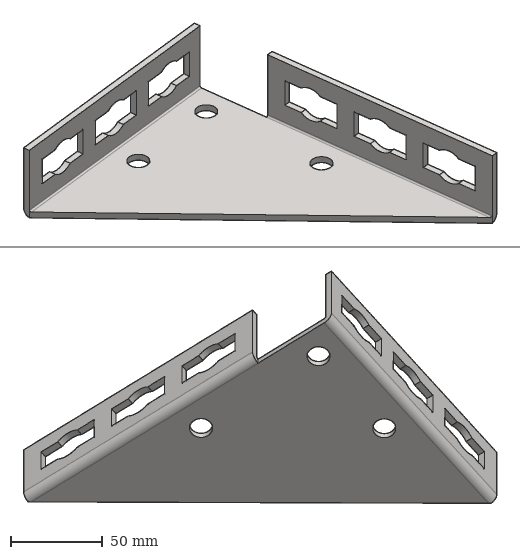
import cadquery as cq
import math

LENGTH = 206.0
WIDTH = 156.0
HEIGHT = 45.0

THICKNESS = 4.0
INNER_BEND = 1.0
OUTER_BEND = INNER_BEND + THICKNESS
ARC_MIDPOINT_INSET = 1 - math.sqrt(0.5)

BACK_FLANGE_START = 50.0
FLOOR_BACK = WIDTH - OUTER_BEND

SLOT_LENGTH = 36.0
SLOT_HEIGHT = 16.2
SLOT_HOLE_DIAMETER = 21.0
SLOT_COUNT = 3
SLOT_Z = 24.65
LEFT_SLOT_CENTRE_Y = 76.5
LEFT_SLOT_PITCH = 47.0
BACK_SLOT_CENTRE_X = (BACK_FLANGE_START + LENGTH) / 2
BACK_SLOT_PITCH = 48.0

HOLE_DIAMETER = 12.5
CORNER_HOLE_X = 20.75
CORNER_HOLE_Y = 135.0
HOLE_SPACING_X = 80.0
HOLE_SPACING_Y = 60.0


def bend_profile(plane, floor_length):
    """L-shaped section: upright at the origin, floor running along the plane's x axis."""
    outer_inset = OUTER_BEND * ARC_MIDPOINT_INSET
    inner_inset = THICKNESS + INNER_BEND * ARC_MIDPOINT_INSET
    return (
        cq.Workplane(plane)
        .moveTo(0, HEIGHT)
        .lineTo(0, OUTER_BEND)
        .threePointArc((outer_inset, outer_inset), (OUTER_BEND, 0))
        .lineTo(floor_length, 0)
        .lineTo(floor_length, THICKNESS)
        .lineTo(OUTER_BEND, THICKNESS)
        .threePointArc((inner_inset, inner_inset), (THICKNESS, OUTER_BEND))
        .lineTo(THICKNESS, HEIGHT)
        .close()
    )


def left_flange_and_floor():
    plane = cq.Plane(origin=(0, 0, 0), xDir=(1, 0, 0), normal=(0, -1, 0))
    return bend_profile(plane, LENGTH).extrude(-FLOOR_BACK)


def back_flange():
    plane = cq.Plane(origin=(BACK_FLANGE_START, WIDTH, 0), xDir=(0, -1, 0), normal=(-1, 0, 0))
    return bend_profile(plane, 2 * OUTER_BEND).extrude(-(LENGTH - BACK_FLANGE_START))


def diagonal_cut():
    """Removes everything in front of the line joining the inner faces of the two flanges."""
    return (
        cq.Workplane("XY")
        .moveTo(THICKNESS, 0)
        .lineTo(LENGTH, 0)
        .lineTo(LENGTH, WIDTH - THICKNESS)
        .close()
        .extrude(HEIGHT)
    )


def slots(plane, pitch):
    """Row of slots through one flange, centred on the plane's origin."""
    centres = [((i - (SLOT_COUNT - 1) / 2) * pitch, 0) for i in range(SLOT_COUNT)]
    base = cq.Workplane(plane).pushPoints(centres)
    rectangles = base.rect(SLOT_LENGTH, SLOT_HEIGHT).extrude(THICKNESS)
    rounds = base.circle(SLOT_HOLE_DIAMETER / 2).extrude(THICKNESS)
    return rectangles.union(rounds)


def mounting_holes():
    centres = [
        (CORNER_HOLE_X, CORNER_HOLE_Y),
        (CORNER_HOLE_X + HOLE_SPACING_X, CORNER_HOLE_Y),
        (CORNER_HOLE_X, CORNER_HOLE_Y - HOLE_SPACING_Y),
    ]
    return cq.Workplane("XY").pushPoints(centres).circle(HOLE_DIAMETER / 2).extrude(THICKNESS)


left_slot_plane = cq.Plane(origin=(0, LEFT_SLOT_CENTRE_Y, SLOT_Z), xDir=(0, 1, 0), normal=(1, 0, 0))
back_slot_plane = cq.Plane(
    origin=(BACK_SLOT_CENTRE_X, WIDTH, SLOT_Z), xDir=(1, 0, 0), normal=(0, -1, 0)
)

bracket = left_flange_and_floor().union(back_flange())
bracket = bracket.cut(diagonal_cut())
bracket = bracket.cut(slots(left_slot_plane, LEFT_SLOT_PITCH))
bracket = bracket.cut(slots(back_slot_plane, BACK_SLOT_PITCH))
result = bracket.cut(mounting_holes()).clean()